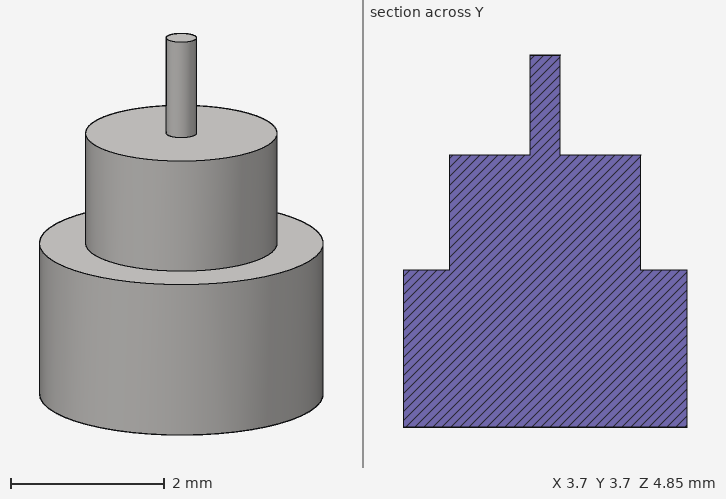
import cadquery as cq

total_height = 4.85
base_height = 2.05
collar_height = 1.5
collar_top = base_height + collar_height

base_diameter = 3.7
collar_diameter = 2.5
insert_diameter = 1.95
pin_diameter = 0.4


def cylinder(diameter, bottom, top):
    """Upright cylinder on the Z axis between two heights."""
    return cq.Workplane("XY").workplane(offset=bottom).circle(diameter / 2).extrude(top - bottom)


base = cylinder(base_diameter, 0, base_height)
collar = cylinder(collar_diameter, base_height, collar_top)

insert = cylinder(insert_diameter, base_height, collar_top)
sleeve = collar.cut(insert)

pin = cylinder(pin_diameter, collar_top, total_height)

result = base
for section in (sleeve, insert, pin):
    result = result.union(section, clean=False)